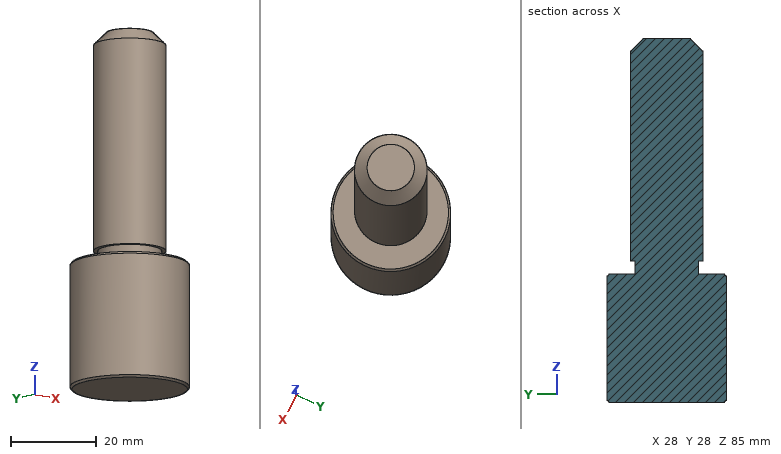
import cadquery as cq

total_height = 85.0
head_diameter = 28.0
head_height = 30.0
head_chamfer = 0.5
neck_diameter = 15.0
neck_height = 3.0
shank_diameter = 17.0
tip_chamfer = 3.0

shank_height = total_height - head_height - neck_height


def cylinder(diameter, height, base_z):
    return cq.Workplane("XY").workplane(offset=base_z).circle(diameter / 2).extrude(height)


head = cylinder(head_diameter, head_height, 0).edges().chamfer(head_chamfer)

neck = cylinder(neck_diameter, neck_height, head_height)

shank = cylinder(shank_diameter, shank_height, head_height + neck_height)
shank = shank.faces(">Z").edges().chamfer(tip_chamfer)

result = head.union(neck).union(shank)